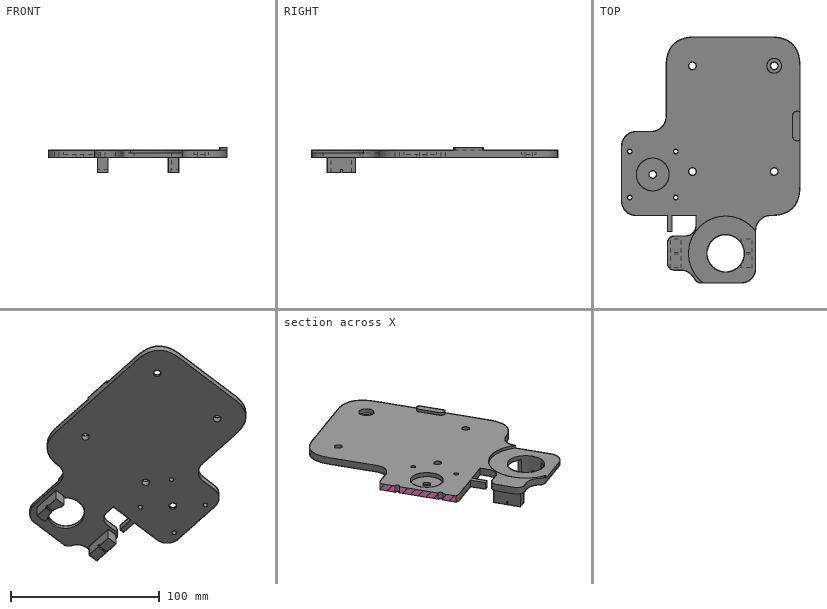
import cadquery as cq
import math

plate_thickness = 5.0
pad_height = 2.0
leg_height = 10.1

total_width = 120.0
total_length = 165.5
main_left = 30.0
main_bottom = 45.3
side_top = 102.0
main_corner_reach = 20.0
main_corner_fullness = 2 / 3
side_radius = 10.0

arm_left = 30.8
arm_top = 31.8
arm_bottom = 8.6
arm_corner_radius = 5.0
neck_left = 50.0
neck_right = 90.2
neck_radius = 7.0
foot_concave_start = 40.0
foot_concave_radius = 10.0
foot_convex_radius = 5.0

finger_width = 3.3
finger_bottom = 34.6

ring_x, ring_y = 70.0, 20.0
bore_diameter = 25.0
recess_diameter = 50.0
recess_depth = 2.0

screw_diameter = 5.0
screw_xs = (47.7, 102.6)
screw_ys = (75.0, 146.0)
screw_head_diameter = 10.0
screw_head_depth = 3.0

motor_x, motor_y = 21.0, 73.0
motor_bore_diameter = 5.0
motor_recess_diameter = 22.0
motor_recess_depth = 3.0
motor_hole_spacing = 31.0
motor_hole_diameter = 3.0

pad_left = 115.0
pad_bottom, pad_top = 95.5, 115.5
pad_end_radius = 3.0

leg_width = 7.1
leg_length = 19.0
leg_lefts = (33.0, 80.5)
leg_center_y = 20.0
leg_slit_width = 1.0
leg_slit_height = 2.0


def block(x, y, z, width, length, height):
    """Box given by its lowest corner and its sizes."""
    return cq.Workplane("XY").box(width, length, height, centered=False).translate((x, y, z))


def cylinder(x, y, diameter, bottom, top):
    """Vertical cylinder between two levels."""
    return cq.Workplane("XY", origin=(x, y, bottom)).circle(diameter / 2).extrude(top - bottom)


def rounded(plate, x, y, radius):
    """Round the vertical edge standing at (x, y)."""
    reach = 0.2
    corner = cq.selectors.BoxSelector(
        (x - reach, y - reach, -reach), (x + reach, y + reach, plate_thickness + reach)
    )
    return plate.edges("|Z").edges(corner).fillet(radius)


def smooth_corner(outline, x, y, way_in, way_out):
    """Turn the outline around the corner (x, y) with a curve fuller than a circular arc."""
    reach = main_corner_reach
    handle = reach * (1 - main_corner_fullness)
    start = (x - reach * way_in[0], y - reach * way_in[1])
    start_handle = (x - handle * way_in[0], y - handle * way_in[1])
    end_handle = (x + handle * way_out[0], y + handle * way_out[1])
    end = (x + reach * way_out[0], y + reach * way_out[1])
    return outline.bezier([start, start_handle, end_handle, end])


def make_plate():
    centre_distance = foot_concave_radius + foot_convex_radius
    concave_y = arm_bottom - foot_concave_radius
    centre_rise = foot_convex_radius - concave_y
    centre_run = math.sqrt(centre_distance**2 - centre_rise**2)
    share = foot_concave_radius / centre_distance
    meeting_point = (foot_concave_start + share * centre_run, concave_y + share * centre_rise)
    foot_end = (foot_concave_start + centre_run, 0)

    plate = (
        cq.Workplane("XY")
        .moveTo(0, main_bottom)
        .lineTo(0, side_top)
        .lineTo(main_left, side_top)
        .lineTo(main_left, total_length - main_corner_reach)
    )
    plate = smooth_corner(plate, main_left, total_length, (0, 1), (1, 0))
    plate = plate.lineTo(total_width - main_corner_reach, total_length)
    plate = smooth_corner(plate, total_width, total_length, (1, 0), (0, -1))
    plate = plate.lineTo(total_width, main_bottom + main_corner_reach)
    plate = smooth_corner(plate, total_width, main_bottom, (0, -1), (-1, 0))
    plate = (
        plate.lineTo(neck_right, main_bottom)
        .lineTo(neck_right, 0)
        .lineTo(*foot_end)
        .radiusArc(meeting_point, foot_convex_radius)
        .radiusArc((foot_concave_start, arm_bottom), -foot_concave_radius)
        .lineTo(arm_left, arm_bottom)
        .lineTo(arm_left, arm_top)
        .lineTo(neck_left, arm_top)
        .lineTo(neck_left, main_bottom)
        .lineTo(arm_left + finger_width, main_bottom)
        .lineTo(arm_left + finger_width, finger_bottom)
        .lineTo(arm_left, finger_bottom)
        .lineTo(arm_left, main_bottom)
        .close()
        .extrude(plate_thickness)
    )
    corners = (
        (0, side_top, side_radius),
        (main_left, side_top, side_radius),
        (0, main_bottom, side_radius),
        (neck_right, main_bottom, side_radius),
        (neck_right, 0, side_radius),
        (neck_left, arm_top, neck_radius),
        (arm_left, arm_top, arm_corner_radius),
        (arm_left, arm_bottom, arm_corner_radius),
    )
    for x, y, radius in corners:
        plate = rounded(plate, x, y, radius)
    return plate


def make_pad():
    """Round-ended pad, trimmed flush with the right edge of the plate."""
    length = pad_top - pad_bottom
    pad = block(pad_left, pad_bottom, plate_thickness, 2 * pad_end_radius, length, pad_height)
    pad = pad.edges("|Z").fillet(0.999 * pad_end_radius)
    return pad.intersect(block(0, 0, 0, total_width, total_length, plate_thickness + pad_height))


def make_leg(left):
    """Leg with a narrow slit across the middle of its foot."""
    leg = block(left, leg_center_y - leg_length / 2, -leg_height, leg_width, leg_length, leg_height)
    slit_y = leg_center_y - leg_slit_width / 2
    return leg.cut(block(left, slit_y, -leg_height, leg_width, leg_slit_width, leg_slit_height))


def cut_screw_holes(body):
    for x in screw_xs:
        for y in screw_ys:
            body = body.cut(cylinder(x, y, screw_diameter, 0, plate_thickness))
    head_floor = plate_thickness - screw_head_depth
    return body.cut(
        cylinder(max(screw_xs), max(screw_ys), screw_head_diameter, head_floor, plate_thickness)
    )


def cut_motor_mount(body):
    floor = plate_thickness - motor_recess_depth
    body = body.cut(cylinder(motor_x, motor_y, motor_bore_diameter, 0, plate_thickness))
    body = body.cut(cylinder(motor_x, motor_y, motor_recess_diameter, floor, plate_thickness))
    half = motor_hole_spacing / 2
    for x in (motor_x - half, motor_x + half):
        for y in (motor_y - half, motor_y + half):
            body = body.cut(cylinder(x, y, motor_hole_diameter, 0, plate_thickness))
    return body


def cut_ring(body):
    """The bore also hollows the side of the right leg."""
    floor = plate_thickness - recess_depth
    body = body.cut(cylinder(ring_x, ring_y, recess_diameter, floor, plate_thickness))
    return body.cut(cylinder(ring_x, ring_y, bore_diameter, -leg_height, plate_thickness))


body = make_plate().union(make_pad())
for leg_left in leg_lefts:
    body = body.union(make_leg(leg_left))
body = cut_screw_holes(body)
body = cut_motor_mount(body)
result = cut_ring(body)